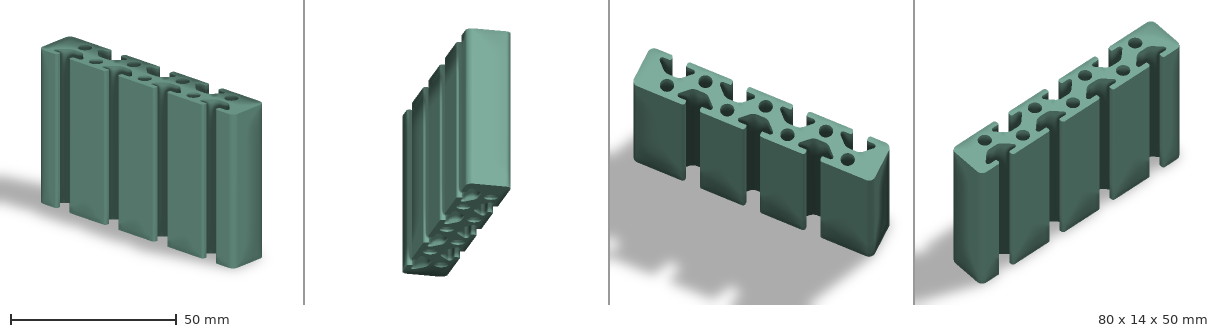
import cadquery as cq
import math

LENGTH = 80.0
DEPTH = 14.0
HEIGHT = 50.0
CORNER_RADIUS = 2.0

PITCH = LENGTH / 4
FRONT_SLOT_COUNT = 4
BACK_SLOT_COUNT = 3

OPENING_WIDTH = 5.0
INNER_WIDTH = 11.5
LIP_THICKNESS = 1.8
SLOT_DEPTH = 6.4
FLOOR_FLAT_WIDTH = 2.2
FLOOR_RADIUS = 3.0
FLANK_ANGLE = math.radians(45)
POCKET_RADIUS = 0.8
LIP_OUTER_RADIUS = 0.8
LIP_INNER_RADIUS = 0.4

BORE_DIAMETER = 4.3
BORE_INSET = 4.0


def row_positions(count):
    """X centres of a row of equally pitched features, centred on the part."""
    return [(i - (count - 1) / 2) * PITCH for i in range(count)]


def make_slot():
    """T-slot cutter that opens toward -Y, with its mouth on the plane y = 0."""
    half_opening = OPENING_WIDTH / 2
    half_inner = INNER_WIDTH / 2
    half_floor = FLOOR_FLAT_WIDTH / 2 + FLOOR_RADIUS * math.tan(FLANK_ANGLE / 2)
    flank_start = SLOT_DEPTH - (half_inner - half_floor) * math.tan(FLANK_ANGLE)

    right_side = [
        (half_opening, 0),
        (half_opening, LIP_THICKNESS),
        (half_inner, LIP_THICKNESS),
        (half_inner, flank_start),
        (half_floor, SLOT_DEPTH),
    ]
    left_side = [(-x, y) for x, y in reversed(right_side)]
    slot = cq.Workplane("XY").polyline(right_side + left_side).close().extrude(HEIGHT)

    def round_edges(body, x, y, radius):
        """Round the two mirrored vertical edges at (x, y) and (-x, y)."""
        middle = HEIGHT / 2
        right = cq.selectors.NearestToPointSelector((x, y, middle))
        left = cq.selectors.NearestToPointSelector((-x, y, middle))
        return body.edges(right + left).fillet(radius)

    slot = round_edges(slot, half_floor, SLOT_DEPTH, FLOOR_RADIUS)
    slot = round_edges(slot, half_inner, flank_start, POCKET_RADIUS)
    slot = round_edges(slot, half_inner, LIP_THICKNESS, POCKET_RADIUS)
    slot = round_edges(slot, half_opening, LIP_THICKNESS, LIP_INNER_RADIUS)

    half_mouth = half_opening + LIP_OUTER_RADIUS
    arc_offset = LIP_OUTER_RADIUS * (1 - math.sqrt(0.5))
    flare = (
        cq.Workplane("XY")
        .moveTo(-half_mouth, 0)
        .threePointArc((-half_opening - arc_offset, arc_offset), (-half_opening, LIP_OUTER_RADIUS))
        .lineTo(half_opening, LIP_OUTER_RADIUS)
        .threePointArc((half_opening + arc_offset, arc_offset), (half_mouth, 0))
        .close()
        .extrude(HEIGHT)
    )
    return slot.union(flare)


def make_bores(count, y):
    """Row of through bores at the given Y."""
    centres = [(x, y) for x in row_positions(count)]
    return cq.Workplane("XY").pushPoints(centres).circle(BORE_DIAMETER / 2).extrude(HEIGHT)


body = cq.Workplane("XY").box(LENGTH, DEPTH, HEIGHT, centered=(True, True, False))
body = body.edges("|Z").fillet(CORNER_RADIUS)

front_slot = make_slot()
back_slot = front_slot.rotate((0, 0, 0), (0, 0, 1), 180)
for x in row_positions(FRONT_SLOT_COUNT):
    body = body.cut(front_slot.translate((x, -DEPTH / 2, 0)))
for x in row_positions(BACK_SLOT_COUNT):
    body = body.cut(back_slot.translate((x, DEPTH / 2, 0)))

bore_offset = DEPTH / 2 - BORE_INSET
body = body.cut(make_bores(FRONT_SLOT_COUNT, bore_offset))
body = body.cut(make_bores(BACK_SLOT_COUNT, -bore_offset))

result = body